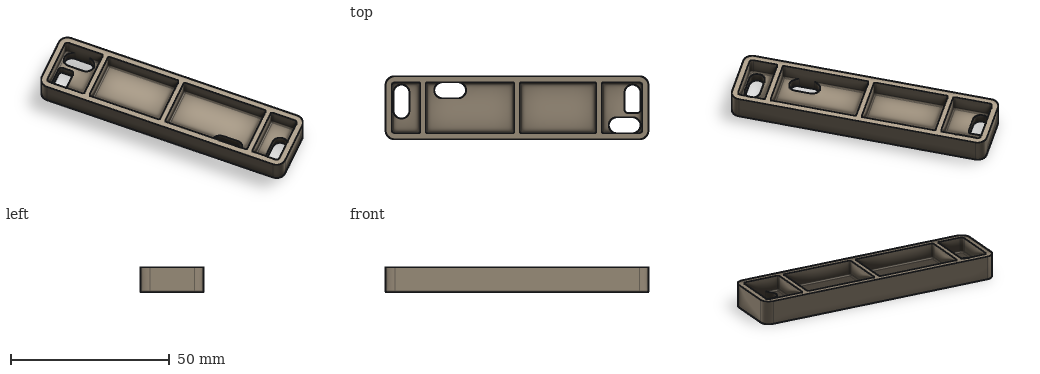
import cadquery as cq

LENGTH = 83.0
WIDTH = 20.0
HEIGHT = 8.0
CORNER_RADIUS = 3.0
BOTTOM_FILLET = 0.5

WALL = 2.0
RIB = 1.75
FLOOR_THICKNESS = 3.0
POCKET_CORNER_RADIUS = 0.5
END_CORNER_RADIUS = 1.0
FLOOR_FILLET = 0.5
FIRST_POCKET_LENGTH = 9.0
SECOND_POCKET_LENGTH = 28.0
THIRD_POCKET_LENGTH = 24.1

SLOT_WIDTH = 5.0
SLOT_LENGTH = 10.0
LEFT_SLOT_LENGTH = 10.6
RIGHT_SLOT_LENGTH = 8.9
RIGHT_SLOT_CORNER_RADIUS = 1.0
END_SLOT_TOP_GAP = 0.75
END_SLOT_SIDE_GAP = 0.6
UPPER_SLOT_X = -21.1
LOWER_SLOT_X = 33.95

inner_x = LENGTH / 2 - WALL
inner_y = WIDTH / 2 - WALL


def make_body():
    """Solid block with rounded vertical corners and a softened underside."""
    block = cq.Workplane("XY").box(LENGTH, WIDTH, HEIGHT, centered=(True, True, False))
    return block.edges("|Z").fillet(CORNER_RADIUS).faces("<Z").edges().fillet(BOTTOM_FILLET)


def make_pocket(x_start, x_end, left_radius, right_radius):
    """Cutter for one pocket, with its own corner radius at each end and a filleted floor edge."""
    cutter = (
        cq.Workplane("XY", origin=((x_start + x_end) / 2, 0, FLOOR_THICKNESS))
        .box(x_end - x_start, 2 * inner_y, HEIGHT - FLOOR_THICKNESS, centered=(True, True, False))
    )
    cutter = cutter.faces("<X").edges("|Z").fillet(left_radius)
    cutter = cutter.faces(">X").edges("|Z").fillet(right_radius)
    return cutter.faces("<Z").edges().fillet(FLOOR_FILLET)


def make_slot(x, y, length, angle):
    """Cutter for a round-ended slot through the floor."""
    return (
        cq.Workplane("XY", origin=(x, y, 0))
        .slot2D(length, SLOT_WIDTH, angle)
        .extrude(HEIGHT)
    )


def make_right_slot(x, y_top):
    """Cutter for the end slot that is fully round at +Y and has small corner radii at -Y."""
    radius = SLOT_WIDTH / 2
    cutter = (
        cq.Workplane("XY", origin=(x, y_top - RIGHT_SLOT_LENGTH, 0))
        .moveTo(-radius, 0)
        .lineTo(radius, 0)
        .lineTo(radius, RIGHT_SLOT_LENGTH - radius)
        .threePointArc((0, RIGHT_SLOT_LENGTH), (-radius, RIGHT_SLOT_LENGTH - radius))
        .close()
        .extrude(HEIGHT)
    )
    return cutter.faces("<Y").edges("|Z").fillet(RIGHT_SLOT_CORNER_RADIUS)


result = make_body()

second_start = -inner_x + FIRST_POCKET_LENGTH + RIB
third_start = second_start + SECOND_POCKET_LENGTH + RIB
fourth_start = third_start + THIRD_POCKET_LENGTH + RIB
pockets = [
    (-inner_x, second_start - RIB, END_CORNER_RADIUS, POCKET_CORNER_RADIUS),
    (second_start, third_start - RIB, POCKET_CORNER_RADIUS, POCKET_CORNER_RADIUS),
    (third_start, fourth_start - RIB, POCKET_CORNER_RADIUS, POCKET_CORNER_RADIUS),
    (fourth_start, inner_x, POCKET_CORNER_RADIUS, END_CORNER_RADIUS),
]
for pocket in pockets:
    result = result.cut(make_pocket(*pocket))

end_slot_x = inner_x - END_SLOT_SIDE_GAP - SLOT_WIDTH / 2
end_slot_top = inner_y - END_SLOT_TOP_GAP
wall_slot_y = inner_y - SLOT_WIDTH / 2
result = result.cut(make_slot(-end_slot_x, end_slot_top - LEFT_SLOT_LENGTH / 2, LEFT_SLOT_LENGTH, 90))
result = result.cut(make_right_slot(end_slot_x, end_slot_top))
result = result.cut(make_slot(UPPER_SLOT_X, wall_slot_y, SLOT_LENGTH, 0))
result = result.cut(make_slot(LOWER_SLOT_X, -wall_slot_y, SLOT_LENGTH, 0))